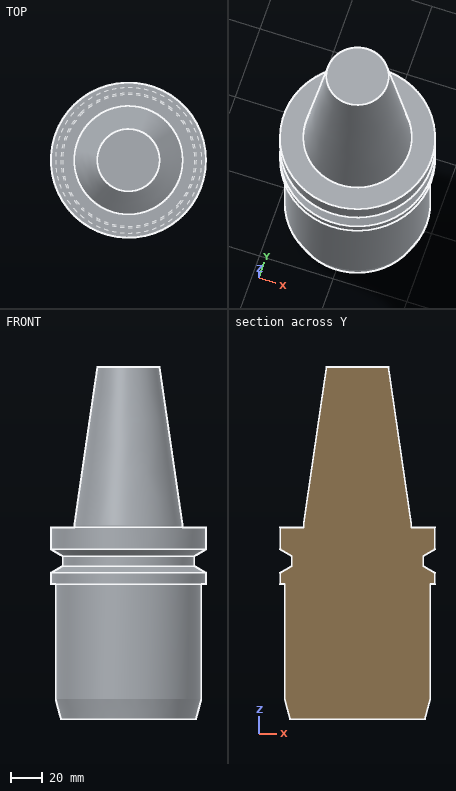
import cadquery as cq


GAUGE_DIAMETER = 69.85
TAPER_LENGTH = 101.8
TAPER_RATE = 7 / 24
COLLAR_LENGTH = 1.5

FLANGE_DIAMETER = 100.0
FLANGE_BOTTOM = -38.0
GROOVE_DIAMETER = 85.0
GROOVE_FLOOR_TOP = -20.0
GROOVE_FLOOR_BOTTOM = -26.3
GROOVE_SIDE_HEIGHT = 4.33

BODY_DIAMETER = 94.0
BODY_BOTTOM = -125.0
NOSE_HEIGHT = 13.0
NOSE_DIAMETER = 87.0

small_end_diameter = GAUGE_DIAMETER - TAPER_LENGTH * TAPER_RATE

section = [
    (0, TAPER_LENGTH),
    (small_end_diameter, TAPER_LENGTH),
    (GAUGE_DIAMETER, 0),
    (GAUGE_DIAMETER, -COLLAR_LENGTH),
    (FLANGE_DIAMETER, -COLLAR_LENGTH),
    (FLANGE_DIAMETER, GROOVE_FLOOR_TOP + GROOVE_SIDE_HEIGHT),
    (GROOVE_DIAMETER, GROOVE_FLOOR_TOP),
    (GROOVE_DIAMETER, GROOVE_FLOOR_BOTTOM),
    (FLANGE_DIAMETER, GROOVE_FLOOR_BOTTOM - GROOVE_SIDE_HEIGHT),
    (FLANGE_DIAMETER, FLANGE_BOTTOM),
    (BODY_DIAMETER, FLANGE_BOTTOM),
    (BODY_DIAMETER, BODY_BOTTOM + NOSE_HEIGHT),
    (NOSE_DIAMETER, BODY_BOTTOM),
    (0, BODY_BOTTOM),
]
half_profile = [(diameter / 2, z) for diameter, z in section]

result = cq.Workplane("XZ").polyline(half_profile).close().revolve(360, (0, 0, 0), (0, 1, 0))